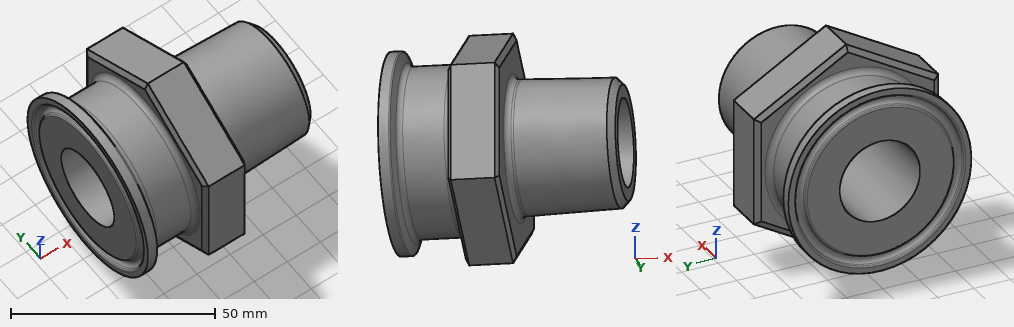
import cadquery as cq
import math

total_length = 57.15
bore_diameter = 22.1

flange_radius = 50.39 / 2
flange_back_angle = math.radians(20)
flange_back_start = 2.87
flange_edge_radius = 0.4
neck_radius = 42.57 / 2
body_fillet_radius = 1.59

groove_mean_radius = 21.82
groove_depth = 1.57
groove_bottom_radius = 1.19
groove_lip_radius = 0.5
groove_wall_angle = math.radians(20)

hex_sides = 6
hex_across_flats = 50.8
hex_length = 12.7
hex_start = 17.3
hex_end = hex_start + hex_length
hex_chamfer_length = 0.9
hex_chamfer_taper = 60

pipe_radius = 33.7 / 2
pipe_taper_start = hex_end + 2.2
pipe_chamfer = 1.8
pipe_taper_slope = 1 / 32
pipe_taper_end = total_length - pipe_chamfer
pipe_small_radius = pipe_radius - (pipe_taper_end - pipe_taper_start) * pipe_taper_slope


def make_turned_body():
    """Flange, neck and pipe end as one revolved outline."""
    sine = math.sin(flange_back_angle)
    cosine = math.cos(flange_back_angle)
    corner_setback = math.tan((math.pi / 2 - flange_back_angle) / 2)

    edge_setback = flange_edge_radius * corner_setback
    rim_end = (flange_back_start - edge_setback, flange_radius)
    back_top = (flange_back_start + edge_setback * sine, flange_radius - edge_setback * cosine)

    neck_setback = body_fillet_radius * corner_setback
    neck_corner = flange_back_start + (flange_radius - neck_radius) * math.tan(flange_back_angle)
    back_bottom = (neck_corner - neck_setback * sine, neck_radius + neck_setback * cosine)
    neck_start = (neck_corner + neck_setback, neck_radius)

    neck_end = (hex_start - body_fillet_radius, neck_radius)
    hex_front_foot = (hex_start, neck_radius + body_fillet_radius)
    hex_rear_foot = (hex_end, pipe_radius + body_fillet_radius)
    pipe_start = (hex_end + body_fillet_radius, pipe_radius)
    fillet_bulge = body_fillet_radius * (1 - math.sqrt(0.5))
    pipe_fillet_middle = (hex_end + fillet_bulge, pipe_radius + fillet_bulge)

    return (
        cq.Workplane("XY")
        .moveTo(0, 0)
        .lineTo(0, flange_radius)
        .lineTo(*rim_end)
        .tangentArcPoint(back_top, relative=False)
        .lineTo(*back_bottom)
        .tangentArcPoint(neck_start, relative=False)
        .lineTo(*neck_end)
        .tangentArcPoint(hex_front_foot, relative=False)
        .lineTo(*hex_rear_foot)
        .threePointArc(pipe_fillet_middle, pipe_start)
        .lineTo(pipe_taper_start, pipe_radius)
        .lineTo(pipe_taper_end, pipe_small_radius)
        .lineTo(total_length, pipe_small_radius - pipe_chamfer)
        .lineTo(total_length, 0)
        .close()
        .revolve(360, (0, 0, 0), (1, 0, 0))
    )


def make_hex():
    """Hex with corners on +Z and -Z and flat chamfers around both ends."""
    across_corners = hex_across_flats / math.cos(math.pi / hex_sides)
    middle = (hex_start + hex_end) / 2
    straight_half = hex_length / 2 - hex_chamfer_length
    corners_on_z = cq.Workplane("YZ").transformed(rotate=(0, 0, 90))

    outline = corners_on_z.polygon(hex_sides, across_corners)
    prism = outline.extrude(straight_half, both=True)
    chamfered_end = (
        corners_on_z.workplane(offset=straight_half)
        .polygon(hex_sides, across_corners)
        .extrude(hex_chamfer_length, taper=hex_chamfer_taper)
    )
    opposite_end = chamfered_end.mirror("YZ")
    return prism.union(chamfered_end).union(opposite_end).translate((middle, 0, 0))


def make_gasket_groove():
    """Ring cutter with a round bottom, sloped walls and rounded lips."""
    sine = math.sin(groove_wall_angle)
    cosine = math.cos(groove_wall_angle)

    bottom_half_width = groove_bottom_radius * cosine
    bottom_edge_depth = groove_depth - groove_bottom_radius * (1 - sine)
    lip_depth = groove_lip_radius * (1 - sine)
    lip_half_width = bottom_half_width + (bottom_edge_depth - lip_depth) * math.tan(groove_wall_angle)
    mouth_half_width = lip_half_width + groove_lip_radius * cosine

    lip_middle_angle = (math.pi / 2 - groove_wall_angle) / 2
    lip_middle_depth = groove_lip_radius * (1 - math.cos(lip_middle_angle))
    lip_middle_half_width = mouth_half_width - groove_lip_radius * math.sin(lip_middle_angle)

    mean = groove_mean_radius
    return (
        cq.Workplane("XY")
        .moveTo(0, mean - mouth_half_width)
        .threePointArc(
            (lip_middle_depth, mean - lip_middle_half_width),
            (lip_depth, mean - lip_half_width),
        )
        .lineTo(bottom_edge_depth, mean - bottom_half_width)
        .threePointArc((groove_depth, mean), (bottom_edge_depth, mean + bottom_half_width))
        .lineTo(lip_depth, mean + lip_half_width)
        .threePointArc(
            (lip_middle_depth, mean + lip_middle_half_width),
            (0, mean + mouth_half_width),
        )
        .close()
        .revolve(360, (0, 0, 0), (1, 0, 0))
    )


def make_bore():
    """Straight through bore."""
    return cq.Workplane("YZ").circle(bore_diameter / 2).extrude(total_length)


result = make_turned_body().union(make_hex()).cut(make_gasket_groove()).cut(make_bore())